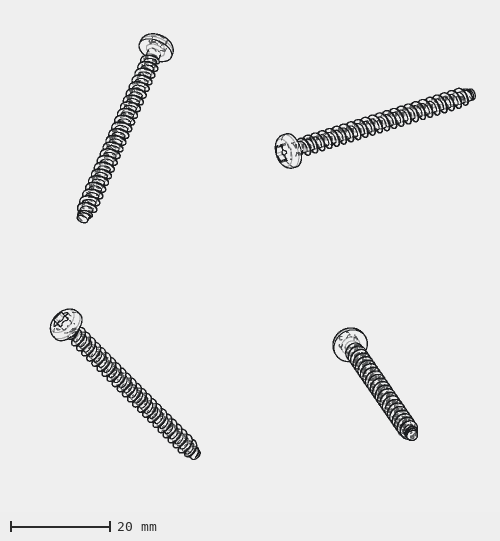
import math

import cadquery as cq


head_radius = 3.5
head_height = 2.65
head_rim_height = 0.72
crown_radius = 5.0

recess_tip_radius = 1.93
recess_valley_radius = 1.39
recess_lobe_radius = 0.305
recess_depth = 1.5
lobe_count = 6

length = 45.0
shank_radius = 1.34
neck_fillet = 0.6
shank_end = 2.0
core_start = 2.5
core_radius = 1.22
tip_taper_start = 42.0
tip_radius = 1.13

pitch = 1.79
thread_radius = 1.98
crest_width = 0.16
foot_width = 0.56
root_overlap = 0.6
thread_phase_depth = 0.6
thread_start = 1.75
full_thread_start = 3.1
full_thread_end = 42.3
thread_end = 44.6
envelope_clearance = 0.2

crown_apex = head_height + crown_radius - math.sqrt(crown_radius**2 - recess_valley_radius**2)


def polar(radius, angle):
    """Point at a distance from the axis and an angle in degrees."""
    return (radius * math.cos(math.radians(angle)), radius * math.sin(math.radians(angle)))


def axial(solid):
    """Turn a solid built with depth along local Z so that depth runs along -Y."""
    return solid.rotate((0, 0, 0), (1, 0, 0), 90)


def make_head():
    """Crowned head whose shoulder arc is tangent to both the crown and the rim."""
    crown_center = crown_apex - crown_radius
    rise = head_rim_height - crown_center
    shoulder_radius = (crown_radius**2 - head_radius**2 - rise**2) / (2 * (crown_radius - head_radius))
    shoulder_x = head_radius - shoulder_radius
    tangent_angle = math.degrees(math.atan2(rise, shoulder_x))

    def crown_point(angle):
        x, y = polar(crown_radius, angle)
        return (x, crown_center + y)

    def shoulder_point(angle):
        x, y = polar(shoulder_radius, angle)
        return (shoulder_x + x, head_rim_height + y)

    return (
        cq.Workplane("XY")
        .lineTo(head_radius, 0)
        .lineTo(head_radius, head_rim_height)
        .threePointArc(shoulder_point(tangent_angle / 2), crown_point(tangent_angle))
        .threePointArc(crown_point((tangent_angle + 90) / 2), (0, crown_apex))
        .close()
        .revolve(360, (0, 0, 0), (0, 1, 0))
    )


def make_recess():
    """Six-lobed socket, lobes along Z, with each lobe arc tangent to its valley arcs."""
    half_step = 180 / lobe_count
    lobe_center = recess_tip_radius - recess_lobe_radius
    reach = lobe_center * math.cos(math.radians(half_step))
    valley_arc = (
        lobe_center**2 + recess_valley_radius**2 - recess_lobe_radius**2 - 2 * reach * recess_valley_radius
    ) / (2 * (reach + recess_lobe_radius - recess_valley_radius))
    valley_center = recess_valley_radius + valley_arc
    blend = recess_lobe_radius / (recess_lobe_radius + valley_arc)

    def join_point(lobe_angle, side):
        """Tangent point between a lobe arc and the valley arc on one side of it."""
        lobe_x, lobe_y = polar(lobe_center, lobe_angle)
        valley_x, valley_y = polar(valley_center, lobe_angle + side * half_step)
        return (lobe_x + blend * (valley_x - lobe_x), lobe_y + blend * (valley_y - lobe_y))

    outline = cq.Workplane("XY").moveTo(*join_point(90, -1))
    for index in range(lobe_count):
        angle = 90 + index * 2 * half_step
        next_angle = angle + 2 * half_step
        outline = outline.threePointArc(polar(recess_tip_radius, angle), join_point(angle, 1))
        outline = outline.threePointArc(
            polar(recess_valley_radius, angle + half_step), join_point(next_angle, -1)
        )
    socket = outline.close().extrude(crown_apex)
    return axial(socket).translate((0, head_height - recess_depth + crown_apex, 0))


def make_shaft():
    """Filleted neck, plain shank, core and tapered tip, starting at the head underside."""
    neck_offset = neck_fillet * (1 - math.sqrt(0.5))
    return (
        cq.Workplane("XY")
        .lineTo(shank_radius + neck_fillet, 0)
        .threePointArc((shank_radius + neck_offset, -neck_offset), (shank_radius, -neck_fillet))
        .lineTo(shank_radius, -shank_end)
        .lineTo(core_radius, -core_start)
        .lineTo(core_radius, -tip_taper_start)
        .lineTo(tip_radius, -length)
        .lineTo(0, -length)
        .close()
        .revolve(360, (0, 0, 0), (0, 1, 0))
    )


def make_thread():
    """Right-hand helical rib with sloping flanks, cut to a conical run-out at both ends."""
    root_radius = tip_radius - root_overlap
    helix = cq.Wire.makeHelix(pitch, length - thread_phase_depth, core_radius)
    rib = (
        cq.Workplane("XZ")
        .moveTo(root_radius, -foot_width / 2)
        .lineTo(core_radius, -foot_width / 2)
        .lineTo(thread_radius, -crest_width / 2)
        .lineTo(thread_radius, crest_width / 2)
        .lineTo(core_radius, foot_width / 2)
        .lineTo(root_radius, foot_width / 2)
        .close()
        .sweep(cq.Workplane(helix), isFrenet=True)
    )
    envelope_radius = thread_radius + envelope_clearance
    envelope = (
        cq.Workplane("XY")
        .moveTo(0, -thread_start)
        .lineTo(shank_radius, -thread_start)
        .lineTo(thread_radius, -full_thread_start)
        .lineTo(envelope_radius, -full_thread_start)
        .lineTo(envelope_radius, -full_thread_end)
        .lineTo(thread_radius, -full_thread_end)
        .lineTo(tip_radius, -thread_end)
        .lineTo(0, -thread_end)
        .close()
        .revolve(360, (0, 0, 0), (0, 1, 0))
    )
    return axial(rib.translate((0, 0, thread_phase_depth))).intersect(envelope)


threaded_shaft = make_shaft().union(make_thread())
screw = make_head().cut(make_recess()).union(threaded_shaft)
result = cq.Workplane(screw.solids().val())